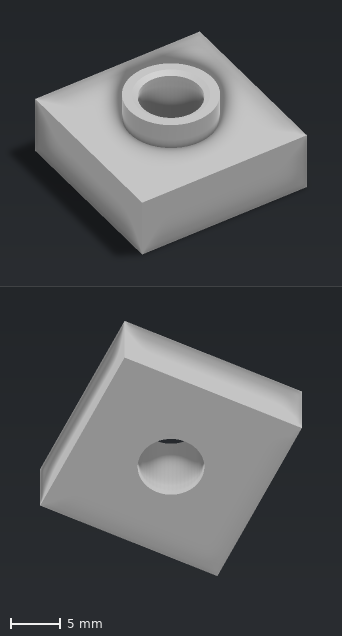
import cadquery as cq
import math

base_side = 20
base_height = 6.8

boss_diameter = 10
boss_height = 3

hole_diameter = 6.8
countersink_diameter = 8
countersink_angle = 120

total_height = base_height + boss_height
countersink_depth = (
    (countersink_diameter - hole_diameter) / 2 / math.tan(math.radians(countersink_angle / 2))
)

base = cq.Workplane("XY").box(base_side, base_side, base_height, centered=(True, True, False))
boss = cq.Workplane("XY").circle(boss_diameter / 2).extrude(total_height)

hole = (
    cq.Workplane("XZ")
    .lineTo(hole_diameter / 2, 0)
    .lineTo(hole_diameter / 2, total_height - countersink_depth)
    .lineTo(countersink_diameter / 2, total_height)
    .lineTo(0, total_height)
    .close()
    .revolve(360, (0, 0, 0), (0, 1, 0))
)

result = base.union(boss).cut(hole)